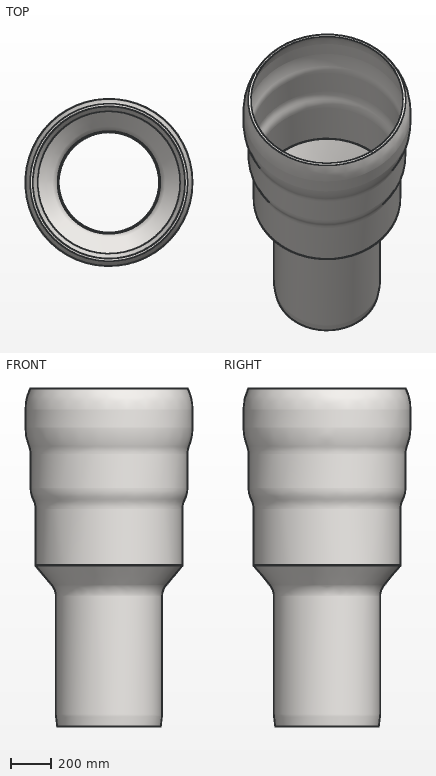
import cadquery as cq
import math


total_height = 1680.0
largest_diameter = 832.0

socket_wall = 12.1
diameter_step = 50.0
bulge_radius = largest_diameter / 2
middle_radius = bulge_radius - diameter_step / 2
base_radius = middle_radius - diameter_step / 2

base_top = 1080.0
lower_inflection = 1129.0
middle_bottom = 1186.0
middle_top = 1354.0
upper_inflection = 1396.0
bulge_bottom = 1485.0
bulge_top = 1575.0
lip_radius = 240.0

reducer_wall = 9.2
pipe_radius = 530.0 / 2
bend_radius = 84.0
tip_angle = math.radians(7)
tip_height = 50.0
cone_angle = math.radians(40)
pipe_top = 648.0
rim_height = 5.0

cone_bottom = pipe_top + bend_radius * math.sin(cone_angle)
cone_bottom_radius = pipe_radius + bend_radius * (1 - math.cos(cone_angle))
cone_top = cone_bottom + (base_radius - cone_bottom_radius) / math.tan(cone_angle)
joint_height = cone_top + rim_height


def on_circle(center, radius, angle):
    """Point at an angle measured from the outward radial direction toward +Z."""
    return (center[0] + radius * math.cos(angle), center[1] + radius * math.sin(angle))


def add_arc(profile, center, radius, start_angle, end_angle):
    """Continue the profile, already at the start angle, along an arc."""
    middle = on_circle(center, radius, (start_angle + end_angle) / 2)
    end = on_circle(center, radius, end_angle)
    return profile.threePointArc(middle, end)


def add_step(profile, small_radius, large_radius, bottom, inflection, top, inset):
    """S-shaped widening: a concave arc followed by a tangent convex arc."""
    angle = 2 * math.atan((large_radius - small_radius) / (top - bottom))
    concave = (inflection - bottom) / math.sin(angle)
    convex = (top - inflection) / math.sin(angle)
    concave_center = (small_radius + concave, bottom)
    convex_center = (large_radius - convex, top)
    profile = profile.lineTo(small_radius - inset, bottom)
    profile = add_arc(profile, concave_center, concave + inset, math.pi, math.pi - angle)
    return add_arc(profile, convex_center, convex - inset, -angle, 0)


def socket_form(inset):
    """Solid bounded by the socket's outer surface moved inward by the inset."""
    profile = cq.Workplane("XZ").moveTo(0, joint_height).lineTo(base_radius - inset, joint_height)
    profile = add_step(
        profile, base_radius, middle_radius, base_top, lower_inflection, middle_bottom, inset
    )
    profile = add_step(
        profile, middle_radius, bulge_radius, middle_top, upper_inflection, bulge_bottom, inset
    )
    lip_center = (bulge_radius - lip_radius, bulge_top)
    mouth_angle = math.asin((total_height - bulge_top) / (lip_radius - inset))
    profile = profile.lineTo(bulge_radius - inset, bulge_top)
    profile = add_arc(profile, lip_center, lip_radius - inset, 0, mouth_angle)
    return profile.lineTo(0, total_height).close().revolve(360, (0, 0), (0, 1))


def reducer_form(inset):
    """Solid bounded by the reducer's outer surface moved inward by the inset."""
    tip_bend_center = (pipe_radius - bend_radius, tip_height + bend_radius * math.sin(tip_angle))
    tip_bend_start = on_circle(tip_bend_center, bend_radius - inset, -tip_angle)
    tip_radius = tip_bend_start[0] - tip_bend_start[1] * math.tan(tip_angle)
    profile = cq.Workplane("XZ").moveTo(0, 0).lineTo(tip_radius, 0).lineTo(*tip_bend_start)
    profile = add_arc(profile, tip_bend_center, bend_radius - inset, -tip_angle, 0)

    cone_bend_center = (pipe_radius + bend_radius, pipe_top)
    profile = profile.lineTo(pipe_radius - inset, pipe_top)
    profile = add_arc(
        profile, cone_bend_center, bend_radius + inset, math.pi, math.pi - cone_angle
    )

    rim_radius = base_radius - inset / math.cos(cone_angle)
    profile = profile.lineTo(rim_radius, cone_top).lineTo(rim_radius, joint_height)
    return profile.lineTo(0, joint_height).close().revolve(360, (0, 0), (0, 1))


socket = socket_form(0).cut(socket_form(socket_wall))
reducer = reducer_form(0).cut(reducer_form(reducer_wall))

result = cq.Compound.makeCompound([socket.solids().val(), reducer.solids().val()])